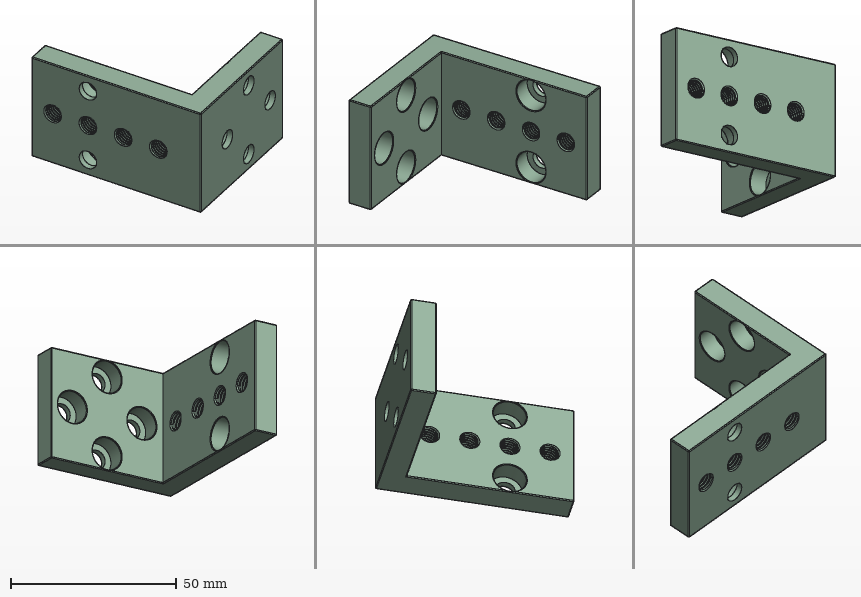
import cadquery as cq

length = 60.0
depth = 48.0
height = 36.0
thickness = 8.0
edge_chamfer = 0.3

hole_pitch = 12.5
clearance_radius = 3.05
bore_radius = 5.15
bore_depth = 6.0
bore_chamfer = 0.25

tapped_count = 4
first_tapped_x = 7.5
core_radius = 2.7
mouth_radius = 3.1
thread_radius = 3.1
thread_pitch = 1.0
crest_width = 0.2
thread_turns = 7
groove_overlap = 0.1

inner_x = length - thickness
upright_center_y = (thickness + depth) / 2
counterbored_base_x = first_tapped_x + hole_pitch


def l_body():
    """L-shaped block with every edge broken except the inner corner."""
    outline = [
        (0, 0),
        (length, 0),
        (length, depth),
        (inner_x, depth),
        (inner_x, thickness),
        (0, thickness),
    ]
    body = cq.Workplane("XY").polyline(outline).close().extrude(height / 2, both=True)
    inner_corner = cq.selectors.NearestToPointSelector((inner_x, thickness, 0))
    outer_edges = cq.selectors.SubtractSelector(cq.selectors.StringSyntaxSelector("|Z or #Z"), inner_corner)
    return body.edges(outer_edges).chamfer(edge_chamfer)


def turned_cutter(profile):
    """Revolve (radius, height) points about Z."""
    return cq.Workplane("XZ").polyline(profile).close().revolve(360, (0, 0), (0, 1))


def counterbored_cutter():
    """Counterbored hole along Z: the bore opens at the top, Z = thickness."""
    shoulder = thickness - bore_depth
    return turned_cutter([
        (0, 0),
        (clearance_radius, 0),
        (clearance_radius, shoulder),
        (bore_radius, shoulder),
        (bore_radius, thickness - bore_chamfer),
        (bore_radius + bore_chamfer, thickness),
        (0, thickness),
    ])


def core_cutter():
    """Core of a tapped hole along Z, countersunk at both ends."""
    sink = mouth_radius - core_radius
    return turned_cutter([
        (0, 0),
        (mouth_radius, 0),
        (core_radius, sink),
        (core_radius, thickness - sink),
        (mouth_radius, thickness),
        (0, thickness),
    ])


def thread_cutter():
    """V groove on a helix along Z, from inside the core and between the plate faces."""
    root_radius = core_radius - groove_overlap
    half_groove = (thread_pitch - crest_width) / 2
    thread_length = thread_turns * thread_pitch
    helix = cq.Wire.makeHelix(thread_pitch, thread_length, root_radius)
    return (
        cq.Workplane("XZ")
        .polyline([(root_radius, -half_groove), (thread_radius, 0), (root_radius, half_groove)])
        .close()
        .sweep(cq.Workplane(helix), isFrenet=True)
        .translate((0, 0, (thickness - thread_length) / 2))
    )


def in_base(cutter, x, z):
    """Turn a cutter from +Z to +Y and place it in the base plate."""
    return cutter.rotate((0, 0, 0), (1, 0, 0), -90).translate((x, 0, z))


def in_upright(cutter, y, z):
    """Turn a cutter from +Z to -X and place it in the upright plate."""
    return cutter.rotate((0, 0, 0), (0, 1, 0), -90).translate((length, y, z))


result = l_body()

for z in (-hole_pitch, hole_pitch):
    result = result.cut(in_base(counterbored_cutter(), counterbored_base_x, z))

for y_step, z_step in ((1, 0), (-1, 0), (0, 1), (0, -1)):
    y = upright_center_y + y_step * hole_pitch
    result = result.cut(in_upright(counterbored_cutter(), y, z_step * hole_pitch))

for i in range(tapped_count):
    x = first_tapped_x + i * hole_pitch
    result = result.cut(in_base(core_cutter(), x, 0))
    result = result.cut(in_base(thread_cutter(), x, 0))